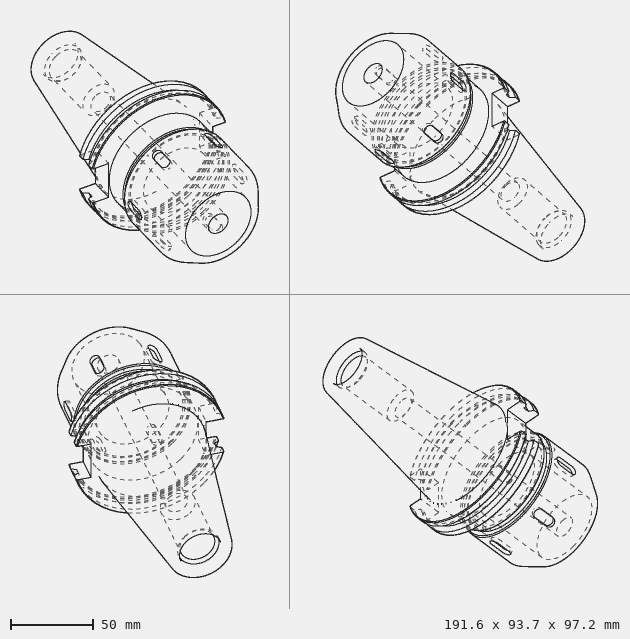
import cadquery as cq
import math

LENGTH = 191.6

TAPER_SLOPE = 7 / 48
TAPER_LENGTH = 102.7
TAPER_END_FILLET = 2.1

FLANGE_START = 104.6
FLANGE_END = 120.7
FLANGE_RADIUS = 97.2 / 2
FLANGE_CHAMFER = 0.5
FLANGE_ROOT_FILLET = 1.0
GROOVE_CENTER = 112.7
GROOVE_FLOOR_WIDTH = 3.3
GROOVE_DEPTH = 3.0
GROOVE_FLANK_ANGLE = 30.0
SLOT_WIDTH = 25.7
NEAR_SLOT_FLOOR = 35.5
FAR_SLOT_FLOOR = 37.5

BODY_RADIUS = 70.1 / 2
BODY_END = 138.0
BODY_CHAMFER = 0.8
NECK_RADIUS = 31.5
NECK_FILLET_SMALL = 1.1
NECK_FILLET_LARGE = 2.0
SPIGOT_RADIUS = 23.0

MOUTH_RADIUS = 26.6 / 2
MOUTH_FILLET = 1.0
MOUTH_DEPTH = 4.6
SEAT_RADIUS = 26.3 / 2
SEAT_DEPTH = 5.5
BORE_RADIUS = 22.2 / 2
BORE_DEPTH = 48.0
THROUGH_RADIUS = 13.8 / 2
DRILL_TIP_HALF_ANGLE = 60.0

NUT_START = 141.2
NUT_RADIUS = 74.0 / 2
NUT_BACK_CHAMFER = 0.8
NUT_CONE_START = 176.5
NUT_CONE_ANGLE = 30.0
NUT_SHOULDER_FILLET = 4.2
NUT_FRONT_FILLET = 2.3

WRENCH_SLOT_COUNT = 6
WRENCH_SLOT_CENTER = 154.6
WRENCH_SLOT_LENGTH = 16.1
WRENCH_SLOT_WIDTH = 6.5
WRENCH_SLOT_DEPTH = 2.7

SELECT_MARGIN = 0.02


def revolve_about_x(outline):
    """Revolve a closed XY outline a full turn about the X axis."""
    return outline.close().revolve(360, (0, 0, 0), (1, 0, 0))


def rim(solid, x, radius):
    """Pick the largest circular edge at this X that is no larger than the radius."""
    reach = radius + SELECT_MARGIN
    box = cq.selectors.BoxSelector(
        (x - SELECT_MARGIN, -reach, -reach), (x + SELECT_MARGIN, reach, reach), boundingbox=True
    )
    return solid.edges(box).edges(cq.selectors.RadiusNthSelector(-1))


def make_taper_and_core():
    """Taper, straight body, neck and spigot as one turned blank."""
    end_radius = BODY_RADIUS - TAPER_LENGTH * TAPER_SLOPE
    outline = (
        cq.Workplane("XY")
        .moveTo(0, 0)
        .lineTo(0, end_radius)
        .lineTo(TAPER_LENGTH, BODY_RADIUS)
        .lineTo(FLANGE_START - FLANGE_ROOT_FILLET, BODY_RADIUS)
        .radiusArc((FLANGE_START, BODY_RADIUS + FLANGE_ROOT_FILLET), -FLANGE_ROOT_FILLET)
        .lineTo(FLANGE_START, BODY_RADIUS)
        .lineTo(BODY_END, BODY_RADIUS)
        .lineTo(BODY_END, NECK_RADIUS)
        .lineTo(NUT_START - NECK_FILLET_LARGE, NECK_RADIUS)
        .radiusArc((NUT_START, NECK_RADIUS + NECK_FILLET_LARGE), -NECK_FILLET_LARGE)
        .lineTo(NUT_START, SPIGOT_RADIUS)
        .lineTo(LENGTH, SPIGOT_RADIUS)
        .lineTo(LENGTH, 0)
    )
    core = revolve_about_x(outline)
    core = rim(core, 0, end_radius).fillet(TAPER_END_FILLET)
    core = rim(core, BODY_END, BODY_RADIUS).chamfer(BODY_CHAMFER)
    return rim(core, BODY_END, NECK_RADIUS).fillet(NECK_FILLET_SMALL)


def make_flange():
    """Chamfered flange disc with its V groove."""
    width = FLANGE_END - FLANGE_START
    flange = cq.Workplane("YZ", origin=(FLANGE_START, 0, 0)).circle(FLANGE_RADIUS).extrude(width)
    flange = flange.edges("%CIRCLE").chamfer(FLANGE_CHAMFER)

    floor_half = GROOVE_FLOOR_WIDTH / 2
    mouth_half = floor_half + GROOVE_DEPTH * math.tan(math.radians(GROOVE_FLANK_ANGLE))
    groove = revolve_about_x(
        cq.Workplane("XY")
        .moveTo(GROOVE_CENTER - floor_half, FLANGE_RADIUS - GROOVE_DEPTH)
        .lineTo(GROOVE_CENTER - mouth_half, FLANGE_RADIUS)
        .lineTo(GROOVE_CENTER + mouth_half, FLANGE_RADIUS)
        .lineTo(GROOVE_CENTER + floor_half, FLANGE_RADIUS - GROOVE_DEPTH)
    )
    return flange.cut(groove)


def make_driving_slots():
    """Two flat-floored slot cutters that pass through the flange and its root fillet."""
    start = FLANGE_START - FLANGE_ROOT_FILLET
    slots = cq.Workplane("XY")
    for side, floor in ((-1, NEAR_SLOT_FLOOR), (1, FAR_SLOT_FLOOR)):
        slot = (
            cq.Workplane("XY")
            .box(FLANGE_END - start, FLANGE_RADIUS, SLOT_WIDTH, centered=(False, True, True))
            .translate((start, side * (floor + FLANGE_RADIUS / 2), 0))
        )
        slots = slots.add(slot)
    return slots.combine()


def make_bore():
    """Stepped axial bore, to be cut from the shank."""
    seat_end = SEAT_DEPTH + SEAT_RADIUS - BORE_RADIUS
    tip_length = (BORE_RADIUS - THROUGH_RADIUS) / math.tan(math.radians(DRILL_TIP_HALF_ANGLE))
    return revolve_about_x(
        cq.Workplane("XY")
        .moveTo(0, 0)
        .lineTo(0, MOUTH_RADIUS + MOUTH_FILLET)
        .radiusArc((MOUTH_FILLET, MOUTH_RADIUS), -MOUTH_FILLET)
        .lineTo(MOUTH_DEPTH, MOUTH_RADIUS)
        .lineTo(SEAT_DEPTH, SEAT_RADIUS)
        .lineTo(seat_end, BORE_RADIUS)
        .lineTo(BORE_DEPTH, BORE_RADIUS)
        .lineTo(BORE_DEPTH + tip_length, THROUGH_RADIUS)
        .lineTo(LENGTH, THROUGH_RADIUS)
        .lineTo(LENGTH, 0)
    )


def make_shank():
    """Taper, flange, body and spigot: the part that fits the machine spindle."""
    blank = make_taper_and_core().union(make_flange())
    return blank.cut(make_driving_slots()).cut(make_bore())


def make_wrench_slot():
    """Flat-bottomed slot cutter on the -Y side of the nut."""
    floor = NUT_RADIUS - WRENCH_SLOT_DEPTH
    return (
        cq.Workplane("XZ", origin=(WRENCH_SLOT_CENTER, -floor, 0))
        .slot2D(WRENCH_SLOT_LENGTH, WRENCH_SLOT_WIDTH)
        .extrude(2 * WRENCH_SLOT_DEPTH)
    )


def make_nut():
    """Chuck nut: a sleeve around the spigot with a coned front and wrench slots."""
    cone_drop = (LENGTH - NUT_CONE_START) * math.tan(math.radians(NUT_CONE_ANGLE))
    front_radius = NUT_RADIUS - cone_drop
    nut = revolve_about_x(
        cq.Workplane("XY")
        .moveTo(NUT_START, SPIGOT_RADIUS)
        .lineTo(NUT_START, NUT_RADIUS)
        .lineTo(NUT_CONE_START, NUT_RADIUS)
        .lineTo(LENGTH, front_radius)
        .lineTo(LENGTH, SPIGOT_RADIUS)
    )
    nut = rim(nut, NUT_CONE_START, NUT_RADIUS).fillet(NUT_SHOULDER_FILLET)
    nut = rim(nut, LENGTH, NUT_RADIUS).fillet(NUT_FRONT_FILLET)
    nut = rim(nut, NUT_START, NUT_RADIUS).chamfer(NUT_BACK_CHAMFER)

    slot = make_wrench_slot()
    for index in range(WRENCH_SLOT_COUNT):
        angle = index * 360 / WRENCH_SLOT_COUNT
        nut = nut.cut(slot.rotate((0, 0, 0), (1, 0, 0), angle))
    return nut


shank = make_shank()
nut = make_nut()

result = cq.Compound.makeCompound([shank.solids().val(), nut.solids().val()])